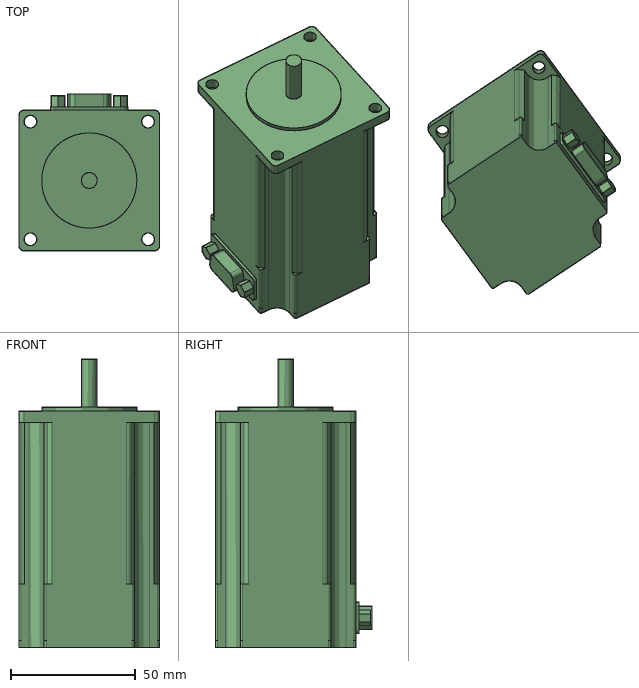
import cadquery as cq

total_height = 115.6
flange_top = 94.8
flange_thickness = 4.6
rib_bottom = 25.4
base_thickness = 2.9

width = 56.4
half_width = width / 2
notch_depth = 10.0
notch_wall = half_width - notch_depth
notch_root_radius = 6.0
notch_lip_radius = 0.8
base_lip_radius = 0.9
lip_chamfer = 2.2
chamfer_blend_radius = 2.5

flange_corner_radius = 2.0
hole_spacing = 47.2
hole_diameter = 5.0
pilot_diameter = 38.1
pilot_height = 1.6
shaft_diameter = 6.4

connector_z = 11.9
connector_depth = 6.5
plate_width = 31.1
plate_height = 12.6
plate_thickness = 1.3
plate_corner_radius = 1.5
shell_height = 9.4
shell_top_width = 14.9
shell_bottom_width = 18.3
shell_corner_radius = 2.0
nut_spacing = 25.0
nut_corner_diameter = 6.4
nut_reach = 5.8


def mirrored_edges(solid, along, across, tolerance=0.1):
    """Vertical edges at (along, across), along <= across, and at its mirror images in all four corners."""
    def matches(edge):
        x = abs(edge.Center().x)
        y = abs(edge.Center().y)
        return abs(min(x, y) - along) < tolerance and abs(max(x, y) - across) < tolerance

    return solid.edges("|Z").filter(matches)


def notched_block(bottom, top):
    """Square block whose corner notches have a rounded root and sharp lips."""
    height = top - bottom
    block = cq.Workplane("XY").workplane(offset=bottom).rect(width, width).extrude(height)
    notches = (
        cq.Workplane("XY")
        .workplane(offset=bottom)
        .rect(width, width, forConstruction=True)
        .vertices()
        .rect(2 * notch_depth, 2 * notch_depth)
        .extrude(height)
    )
    block = block.cut(notches)
    return mirrored_edges(block, notch_wall, notch_wall).fillet(notch_root_radius)


def rounded_block(bottom, top, lip_radius):
    """Notched block with a small round on every notch lip."""
    block = notched_block(bottom, top)
    return mirrored_edges(block, notch_wall, half_width).fillet(lip_radius)


def chamfered_block(bottom, top):
    """Notched block with chamfered lips that blend into the flat sides."""
    block = notched_block(bottom, top)
    block = mirrored_edges(block, notch_wall, half_width).chamfer(lip_chamfer)
    return mirrored_edges(block, notch_wall - lip_chamfer, half_width).fillet(chamfer_blend_radius)


def mounting_end():
    """Flange with four through holes, round pilot boss and output shaft."""
    flange_bottom = flange_top - flange_thickness
    flange = (
        cq.Workplane("XY")
        .workplane(offset=flange_bottom)
        .rect(width, width)
        .extrude(flange_thickness)
        .edges("|Z")
        .fillet(flange_corner_radius)
        .faces(">Z")
        .workplane()
        .rect(hole_spacing, hole_spacing, forConstruction=True)
        .vertices()
        .hole(hole_diameter)
    )
    top_plane = cq.Workplane("XY").workplane(offset=flange_top)
    pilot = top_plane.circle(pilot_diameter / 2).extrude(pilot_height)
    shaft = top_plane.circle(shaft_diameter / 2).extrude(total_height - flange_top)
    return flange.union(pilot).union(shaft)


def connector():
    """D-shaped shell between two hexagonal nuts on a rounded plate."""
    side = cq.Workplane(
        cq.Plane(origin=(0, half_width, connector_z), xDir=(-1, 0, 0), normal=(0, 1, 0))
    )
    plate = (
        side.rect(plate_width, plate_height)
        .extrude(plate_thickness)
        .edges("|Y")
        .fillet(plate_corner_radius)
    )
    shell = (
        side.moveTo(-shell_bottom_width / 2, -shell_height / 2)
        .lineTo(shell_bottom_width / 2, -shell_height / 2)
        .lineTo(shell_top_width / 2, shell_height / 2)
        .lineTo(-shell_top_width / 2, shell_height / 2)
        .close()
        .extrude(connector_depth)
        .edges("|Y")
        .fillet(shell_corner_radius)
    )
    body = plate.union(shell)
    for nut_x in (-nut_spacing / 2, nut_spacing / 2):
        nut = (
            side.center(nut_x, 0)
            .transformed(rotate=(0, 0, 90))
            .polygon(6, nut_corner_diameter)
            .extrude(nut_reach)
        )
        body = body.union(nut)
    return body


base = rounded_block(0, base_thickness, base_lip_radius)
lower_housing = rounded_block(base_thickness, rib_bottom, notch_lip_radius)
upper_housing = chamfered_block(rib_bottom, flange_top - flange_thickness)

result = base.union(lower_housing).union(upper_housing).union(mounting_end()).union(connector())